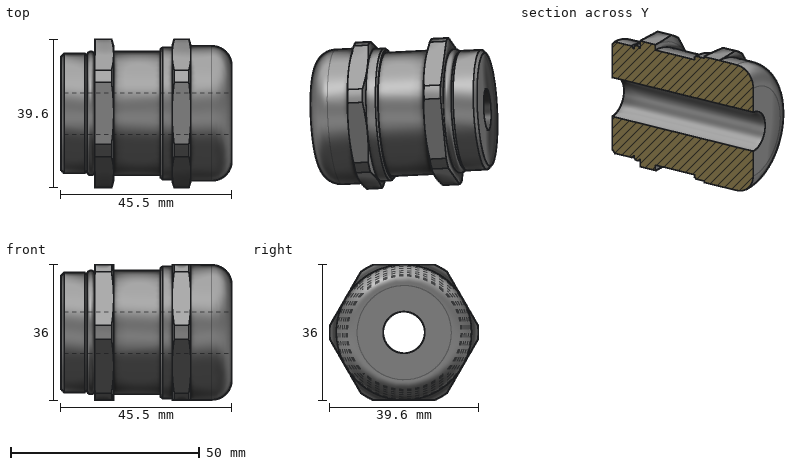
import cadquery as cq
import math


thread_end = 6.95
body_hex_start = 9.0
body_hex_end = 14.0
collar_start = 26.5
nut_hex_start = 29.58
nut_hex_end = 34.6
overall_length = 45.5

bore_diameter = 11.0
thread_diameter = 32.0
thread_tip_diameter = 30.15
body_diameter = 33.0
collar_diameter = 35.25
hex_corner_diameter = 39.6
across_flats = 36.0
cap_diameter = across_flats

thread_tip_chamfer_length = 0.85
thread_end_chamfer = 0.7
collar_chamfer = 0.55
hex_chamfer_length = 0.55
cap_round_radius = 5.45


def cylinder(start, end, diameter):
    """Solid cylinder on the X axis between two positions."""
    return cq.Workplane("YZ", origin=(start, 0, 0)).circle(diameter / 2).extrude(end - start)


def revolve_about_axis(profile):
    """Revolve a closed XY outline about the X axis."""
    return profile.close().revolve(360, (0, 0, 0), (1, 0, 0))


def make_thread():
    """Plain thread envelope with both ends chamfered, and the neck behind it."""
    radius = thread_diameter / 2
    neck_radius = radius - thread_end_chamfer
    profile = (
        cq.Workplane("XY")
        .lineTo(0, thread_tip_diameter / 2)
        .lineTo(thread_tip_chamfer_length, radius)
        .lineTo(thread_end - thread_end_chamfer, radius)
        .lineTo(thread_end, neck_radius)
        .lineTo(body_hex_start, neck_radius)
        .lineTo(body_hex_start, 0)
    )
    return revolve_about_axis(profile)


def make_seal_ring():
    """O-ring filling the gap between the thread and the body hexagon."""
    section_radius = (body_hex_start - thread_end) / 2
    ring_center_radius = body_diameter / 2 - section_radius
    return (
        cq.Workplane("XY")
        .center(thread_end + section_radius, ring_center_radius)
        .circle(section_radius)
        .revolve(360, (0, -ring_center_radius, 0), (1, -ring_center_radius, 0))
    )


def make_hexagon(start, end, chamfer_start):
    """Hexagon with flats facing +Z and -Z, rounded corners and conically chamfered ends."""
    prism = (
        cq.Workplane("YZ", origin=(start, 0, 0))
        .polygon(6, across_flats / math.cos(math.pi / 6))
        .extrude(end - start)
    )
    face_radius = across_flats / 2
    corner_radius = hex_corner_diameter / 2
    envelope = cq.Workplane("XY").moveTo(start, 0)
    if chamfer_start:
        envelope = envelope.lineTo(start, face_radius).lineTo(start + hex_chamfer_length, corner_radius)
    else:
        envelope = envelope.lineTo(start, corner_radius)
    envelope = (
        envelope.lineTo(end - hex_chamfer_length, corner_radius)
        .lineTo(end, face_radius)
        .lineTo(end, 0)
    )
    return prism.intersect(revolve_about_axis(envelope))


def make_collar():
    """Round collar of the cap nut, chamfered where it meets the body."""
    collar = cylinder(collar_start, nut_hex_start, collar_diameter)
    return collar.faces("<X").edges().chamfer(collar_chamfer)


def make_cap():
    """Rounded dome at the free end of the cap nut."""
    cap = cylinder(nut_hex_end, overall_length, cap_diameter)
    return cap.faces(">X").edges().fillet(cap_round_radius)


result = (
    make_thread()
    .union(make_seal_ring())
    .union(make_hexagon(body_hex_start, body_hex_end, chamfer_start=False))
    .union(cylinder(body_hex_end, collar_start, body_diameter))
    .union(make_collar())
    .union(make_hexagon(nut_hex_start, nut_hex_end, chamfer_start=True))
    .union(make_cap())
    .cut(cylinder(0, overall_length, bore_diameter))
)